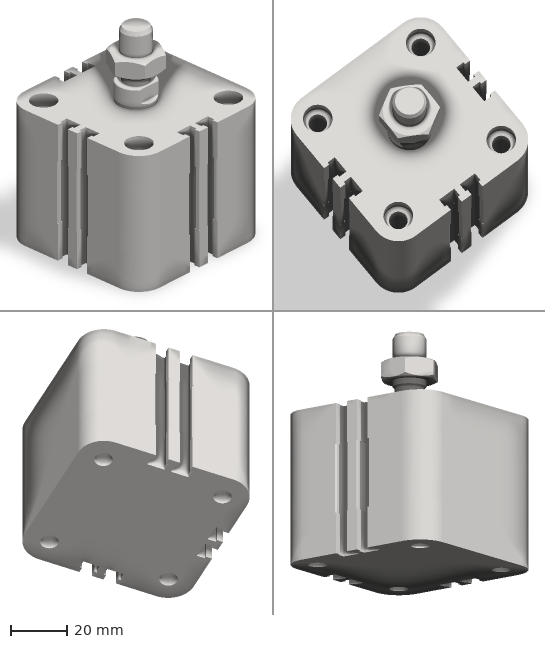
import cadquery as cq
import math

BODY_SIDE = 66.0
CORNER_RADIUS = 10.0
CAP_HEIGHT = 15.0
BARREL_HEIGHT = 25.1
BARREL_BASE_Z = CAP_HEIGHT
BARREL_TOP_Z = BARREL_BASE_Z + BARREL_HEIGHT
BODY_TOP_Z = BARREL_TOP_Z + CAP_HEIGHT

HOLE_PITCH = 46.5
HOLE_DIAMETER = 6.6
COUNTERBORE_DIAMETER = 10.5
COUNTERBORE_DEPTH = 5.0

SLOT_OFFSET = 4.7
SLOT_MOUTH_WIDTH = 4.9
SLOT_INNER_WIDTH = 6.8
SLOT_DEPTH = 5.5
CAP_LIP_THICKNESS = 2.3
BARREL_LIP_THICKNESS = 1.7
LIP_CHAMFER = 0.5
RIB_CHAMFER = 0.25
RIB_ROOT_CHAMFER = 0.4
SLOTTED_FACE_ANGLES = (-90, 0, 90)

TOTAL_HEIGHT = 85.0
SEAL_DIAMETER = 15.8
SEAL_HEIGHT = 0.85
SEAL_TAPER_HEIGHT = 0.25
COLLAR_DIAMETER = 16.0
COLLAR_TOP_Z = 63.0
COLLAR_CHAMFER = 0.25
FLAT_WIDTH = 13.0
FLAT_BASE_Z = 57.5
FLAT_LEDGE_ANGLE = 30
THREAD_DIAMETER = 12.0
THREAD_BASE_Z = 66.0
THREAD_TIP_DIAMETER = 10.3
THREAD_TIP_LENGTH = 1.5
RELIEF_DIAMETER = 10.7

NUT_WIDTH = 19.0
NUT_HEIGHT = 7.0
NUT_TOP_Z = 75.0
NUT_FACE_DIAMETER = 18.9
NUT_CHAMFER_ANGLE = 30
NUT_BORE_CHAMFER = 0.25


def plain_block(base_z, height):
    """Rounded square block with the four screw holes."""
    return (
        cq.Workplane("XY", origin=(0, 0, base_z))
        .rect(BODY_SIDE, BODY_SIDE)
        .extrude(height)
        .edges("|Z")
        .fillet(CORNER_RADIUS)
        .faces(">Z")
        .workplane(origin=(0, 0, 0))
        .rect(HOLE_PITCH, HOLE_PITCH, forConstruction=True)
        .vertices()
        .hole(HOLE_DIAMETER)
    )


def slot_outline(lip_thickness, lip_chamfer=0.0, rib_chamfer=0.0, root_chamfer=0.0):
    """Corners of the T-slot right of the central rib, in the -Y face."""
    face_y = -BODY_SIDE / 2
    lip_y = face_y + lip_thickness
    floor_y = face_y + SLOT_DEPTH
    rib_mouth_x = SLOT_OFFSET - SLOT_MOUTH_WIDTH / 2
    lip_mouth_x = SLOT_OFFSET + SLOT_MOUTH_WIDTH / 2
    rib_inner_x = SLOT_OFFSET - SLOT_INNER_WIDTH / 2
    lip_inner_x = SLOT_OFFSET + SLOT_INNER_WIDTH / 2
    points = [
        (rib_mouth_x - rib_chamfer, face_y),
        (rib_mouth_x, face_y + rib_chamfer),
        (rib_mouth_x, lip_y),
        (rib_inner_x, lip_y),
        (rib_inner_x, floor_y - root_chamfer),
        (rib_inner_x + root_chamfer, floor_y),
        (lip_inner_x, floor_y),
        (lip_inner_x, lip_y),
        (lip_mouth_x, lip_y),
        (lip_mouth_x, face_y + lip_chamfer),
        (lip_mouth_x + lip_chamfer, face_y),
    ]
    return [point for i, point in enumerate(points) if point != points[i - 1]]


def cut_slots(block, base_z, height, outline):
    """Cut a mirrored pair of slots into each slotted face, over the whole height."""
    right_slot = cq.Workplane("XY", origin=(0, 0, base_z)).polyline(outline).close().extrude(height)
    left_slot = right_slot.mirror("YZ")
    for angle in SLOTTED_FACE_ANGLES:
        for slot in (right_slot, left_slot):
            block = block.cut(slot.rotate((0, 0, 0), (0, 0, 1), angle))
    return block


def make_cap(base_z):
    return cut_slots(plain_block(base_z, CAP_HEIGHT), base_z, CAP_HEIGHT, slot_outline(CAP_LIP_THICKNESS))


def make_top_cap():
    """Cap with counterbored screw holes and the rod passage."""
    return (
        make_cap(BARREL_TOP_Z)
        .faces(">Z")
        .workplane(origin=(0, 0, 0))
        .rect(HOLE_PITCH, HOLE_PITCH, forConstruction=True)
        .vertices()
        .hole(COUNTERBORE_DIAMETER, COUNTERBORE_DEPTH)
        .faces(">Z")
        .workplane(origin=(0, 0, 0))
        .hole(SEAL_DIAMETER)
    )


def make_barrel():
    outline = slot_outline(BARREL_LIP_THICKNESS, LIP_CHAMFER, RIB_CHAMFER, RIB_ROOT_CHAMFER)
    return cut_slots(plain_block(BARREL_BASE_Z, BARREL_HEIGHT), BARREL_BASE_Z, BARREL_HEIGHT, outline)


def make_rod():
    """Turned rod standing on the barrel, with two wrench flats facing -X and +X."""
    seal_radius = SEAL_DIAMETER / 2
    collar_radius = COLLAR_DIAMETER / 2
    relief_radius = RELIEF_DIAMETER / 2
    thread_radius = THREAD_DIAMETER / 2
    seal_top_z = BODY_TOP_Z + SEAL_HEIGHT
    profile = [
        (0, BARREL_TOP_Z),
        (seal_radius, BARREL_TOP_Z),
        (seal_radius, seal_top_z),
        (collar_radius, seal_top_z + SEAL_TAPER_HEIGHT),
        (collar_radius, COLLAR_TOP_Z - COLLAR_CHAMFER),
        (collar_radius - COLLAR_CHAMFER, COLLAR_TOP_Z),
        (relief_radius, COLLAR_TOP_Z),
        (relief_radius, THREAD_BASE_Z - thread_radius + relief_radius),
        (thread_radius, THREAD_BASE_Z),
        (thread_radius, TOTAL_HEIGHT - THREAD_TIP_LENGTH),
        (THREAD_TIP_DIAMETER / 2, TOTAL_HEIGHT),
        (0, TOTAL_HEIGHT),
    ]
    rod = cq.Workplane("XZ").polyline(profile).close().revolve(360, (0, 0), (0, 1))

    flat_x = FLAT_WIDTH / 2
    ledge_end_z = FLAT_BASE_Z - (collar_radius - flat_x) * math.tan(math.radians(FLAT_LEDGE_ANGLE))
    right_flat = (
        cq.Workplane("XZ")
        .polyline([
            (flat_x, COLLAR_TOP_Z),
            (flat_x, FLAT_BASE_Z),
            (collar_radius, ledge_end_z),
            (collar_radius, COLLAR_TOP_Z),
        ])
        .close()
        .extrude(collar_radius, both=True)
    )
    return rod.cut(right_flat).cut(right_flat.mirror("YZ"))


def make_nut():
    """Hexagon with corners on the Y axis, chamfered outside and in the bore at both ends."""
    corner_radius = NUT_WIDTH / math.sqrt(3)
    bore_radius = THREAD_DIAMETER / 2
    face_radius = NUT_FACE_DIAMETER / 2
    chamfer_height = (corner_radius - face_radius) * math.tan(math.radians(NUT_CHAMFER_ANGLE))
    base_z = NUT_TOP_Z - NUT_HEIGHT
    hexagon = (
        cq.Workplane("XY", origin=(0, 0, base_z))
        .polygon(6, 2 * corner_radius)
        .extrude(NUT_HEIGHT)
        .rotate((0, 0, 0), (0, 0, 1), 90)
    )
    chamfer_envelope = (
        cq.Workplane("XZ")
        .polyline([
            (bore_radius, base_z + NUT_BORE_CHAMFER),
            (bore_radius + NUT_BORE_CHAMFER, base_z),
            (face_radius, base_z),
            (corner_radius, base_z + chamfer_height),
            (corner_radius, NUT_TOP_Z - chamfer_height),
            (face_radius, NUT_TOP_Z),
            (bore_radius + NUT_BORE_CHAMFER, NUT_TOP_Z),
            (bore_radius, NUT_TOP_Z - NUT_BORE_CHAMFER),
        ])
        .close()
        .revolve(360, (0, 0), (0, 1))
    )
    return hexagon.intersect(chamfer_envelope)


bottom_cap = make_cap(0)
barrel = make_barrel()
top_cap = make_top_cap()
rod = make_rod()
nut = make_nut()

result = cq.Compound.makeCompound([
    bottom_cap.val(),
    barrel.val(),
    top_cap.val(),
    rod.val(),
    nut.val(),
])